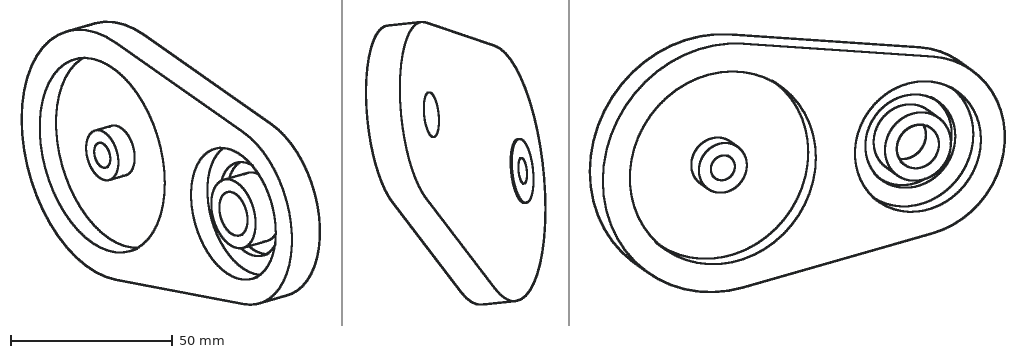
import cadquery as cq
import math

large_radius = 40.0
small_radius = 29.0
centre_distance = 65.0
plate_thickness = 11.2

overall_depth = 18.0
dome_height = overall_depth - plate_thickness
pad_diameter = 20.0

large_pocket_diameter = 62.0
large_pocket_depth = 6.5
large_boss_diameter = 16.0
large_hole_diameter = 8.0

small_pocket_diameter = 42.0
small_pocket_depth = 6.5
small_step_diameter = 30.0
small_step_depth = 9.6
small_boss_diameter = 22.0
small_hole_diameter = 14.0

cut_overrun = 1.0


def cylinder(centre_x, diameter, start_y, end_y):
    """Solid cylinder along +Y between two depths behind the front face."""
    axis_plane = cq.Plane(origin=(centre_x, start_y, 0), xDir=(1, 0, 0), normal=(0, 1, 0))
    return cq.Workplane(axis_plane).circle(diameter / 2).extrude(end_y - start_y)


def make_plate():
    """Plate with its front face at Y = 0 and its back face at +Y."""
    tangent_cos = (large_radius - small_radius) / centre_distance
    tangent_sin = math.sqrt(1 - tangent_cos**2)
    large_x = large_radius * tangent_cos
    large_z = large_radius * tangent_sin
    small_x = centre_distance + small_radius * tangent_cos
    small_z = small_radius * tangent_sin
    return (
        cq.Workplane("XZ")
        .moveTo(large_x, large_z)
        .lineTo(small_x, small_z)
        .threePointArc((centre_distance + small_radius, 0), (small_x, -small_z))
        .lineTo(large_x, -large_z)
        .threePointArc((-large_radius, 0), (large_x, large_z))
        .close()
        .extrude(-plate_thickness)
    )


def make_dome():
    """Spherical cap whose rim meets the edge of the large end, with a flat pad level with its peak."""
    sphere_radius = (large_radius**2 + dome_height**2) / (2 * dome_height)
    sphere_centre_y = overall_depth - sphere_radius

    def cap_point(radius):
        return radius, sphere_centre_y + math.sqrt(sphere_radius**2 - radius**2)

    pad_radius = pad_diameter / 2
    return (
        cq.Workplane("XY")
        .moveTo(0, plate_thickness)
        .lineTo(large_radius, plate_thickness)
        .threePointArc(cap_point((large_radius + pad_radius) / 2), cap_point(pad_radius))
        .lineTo(pad_radius, overall_depth)
        .lineTo(0, overall_depth)
        .close()
        .revolve(360, (0, 0, 0), (0, 1, 0))
    )


def ring_pocket(centre_x, outer_diameter, boss_diameter, depth):
    """Ring-shaped cut from the front face that leaves a boss flush with that face."""
    boss = cylinder(centre_x, boss_diameter, 0, depth)
    return cylinder(centre_x, outer_diameter, 0, depth).cut(boss)


def through_hole(centre_x, diameter):
    """Cutter that runs past both the front face and the pad."""
    return cylinder(centre_x, diameter, -cut_overrun, overall_depth + cut_overrun)


body = make_plate().union(make_dome())

body = body.cut(ring_pocket(0, large_pocket_diameter, large_boss_diameter, large_pocket_depth))
body = body.cut(through_hole(0, large_hole_diameter))

body = body.cut(ring_pocket(centre_distance, small_pocket_diameter, small_boss_diameter, small_pocket_depth))
body = body.cut(ring_pocket(centre_distance, small_step_diameter, small_boss_diameter, small_step_depth))
result = body.cut(through_hole(centre_distance, small_hole_diameter))